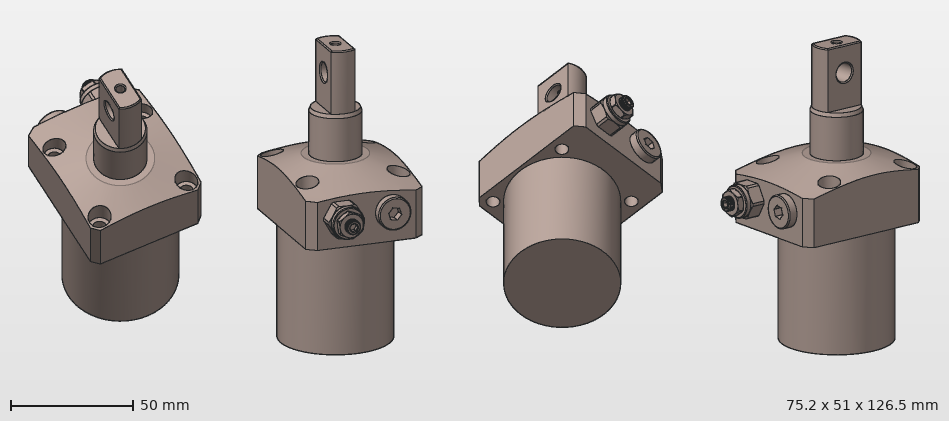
import cadquery as cq
import math

FULL_HEIGHT = 126.5
BARREL_DIAMETER = 48.0
BARREL_LENGTH = 51.0
BLOCK_WIDTH = 51.0
BLOCK_REACH_LEFT = 35.4
BLOCK_TOP = 79.0
TOP_FLAT_RADIUS = 14.0
CONE_SLOPE = 15.0
RIGHT_CORNER_CUT = 3.0
LEFT_CORNER_CUT_X = 3.0
LEFT_CORNER_CUT_Y = 3.9

MOUNT_HALF_SPACING = 20.0
MOUNT_HOLE_DIAMETER = 5.6
MOUNT_COUNTERBORE_DIAMETER = 9.4
MOUNT_COUNTERBORE_FLOOR = 68.3

ROD_DIAMETER = 21.9
ROD_SHOULDER = 99.3
ROD_SHOULDER_CHAMFER_HEIGHT = 1.6
TANG_DIAMETER = 20.5
TANG_THICKNESS = 10.5
TANG_TOP_CHAMFER = 0.5
PIN_HOLE_DIAMETER = 8.1
PIN_HOLE_HEIGHT = 114.6
TAPPED_HOLE_DIAMETER = 3.7
HOLE_CHAMFER = 0.5

PORT_OFFSET = 11.0
PORT_HEIGHT = 64.0

PLUG_DIAMETER = 14.2
PLUG_LENGTH = 4.0
PLUG_CHAMFER = 0.5
PLUG_SOCKET_ACROSS_FLATS = 5.0
PLUG_SOCKET_DEPTH = 3.8
PLUG_SOCKET_TURN = -11.0

VALVE_HEX_ACROSS_FLATS = 14.0
VALVE_HEX_LENGTH = 6.3
VALVE_HEX_CORNER_DIAMETER = 15.5
WASHER_DIAMETER = 13.8
WASHER_THICKNESS = 2.3
WASHER_CHAMFER = 0.4
NUT_ACROSS_FLATS = 10.1
NUT_THICKNESS = 3.0
NUT_CORNER_DIAMETER = 11.5
NUT_TURN = -23.0
SCREW_DIAMETER = 6.1
SCREW_EXPOSED_LENGTH = 2.7
SCREW_TIP_CHAMFER = 0.4
THREAD_PITCH = 0.8
THREAD_DEPTH = 0.3
THREAD_GROOVES = 3
SCREW_SOCKET_ACROSS_FLATS = 3.0
SCREW_SOCKET_DEPTH = 2.3
SCREW_SOCKET_MOUTH_DIAMETER = 3.8

HEX_CORNER_CHAMFER_ANGLE = 30.0
HEX_HALF_ANGLE = 30.0

BLOCK_HALF_WIDTH = BLOCK_WIDTH / 2
WASHER_START = VALVE_HEX_LENGTH
NUT_START = WASHER_START + WASHER_THICKNESS
NUT_END = NUT_START + NUT_THICKNESS
SCREW_END = NUT_END + SCREW_EXPOSED_LENGTH


def port_plane(y, distance=0.0):
    """Plane facing -X on a port axis, at a distance out from the left face. Local x is -Y, local y is Z."""
    return cq.Plane(
        origin=(-BLOCK_REACH_LEFT - distance, y, PORT_HEIGHT), xDir=(0, -1, 0), normal=(-1, 0, 0)
    )


def hexagon(plane, across_flats, length, turn):
    """Hexagonal prism with a corner along local x, turned counterclockwise by `turn` degrees."""
    corner_diameter = across_flats / math.cos(math.radians(HEX_HALF_ANGLE))
    return cq.Workplane(plane.rotated((0, 0, turn))).polygon(6, corner_diameter).extrude(length)


def corner_trim(plane, across_flats, corner_diameter, length, both_ends):
    """Turned envelope that rounds the corners of a hexagon and bevels them at its ends."""
    rim = corner_diameter / 2
    end_radius = across_flats / 2
    bevel = (rim - end_radius) * math.tan(math.radians(HEX_CORNER_CHAMFER_ANGLE))
    profile = cq.Workplane("XZ").moveTo(0, 0)
    if both_ends:
        profile = profile.lineTo(end_radius, 0).lineTo(rim, bevel)
    else:
        profile = profile.lineTo(rim, 0)
    profile = profile.lineTo(rim, length - bevel).lineTo(end_radius, length).lineTo(0, length).close()
    envelope = profile.revolve(360, (0, 0, 0), (0, 1, 0))
    return cq.Workplane(envelope.val().moved(cq.Location(plane)))


def make_block():
    """Flange block with cut corners, its top turned to a cone around a flat ring."""
    left, right, side = -BLOCK_REACH_LEFT, BLOCK_HALF_WIDTH, BLOCK_HALF_WIDTH
    upper_half = [
        (right, side - RIGHT_CORNER_CUT),
        (right - RIGHT_CORNER_CUT, side),
        (left + LEFT_CORNER_CUT_X, side),
        (left, side - LEFT_CORNER_CUT_Y),
    ]
    lower_half = [(x, -y) for x, y in reversed(upper_half)]
    prism = (
        cq.Workplane("XY", origin=(0, 0, BARREL_LENGTH))
        .polyline(upper_half + lower_half)
        .close()
        .extrude(BLOCK_TOP - BARREL_LENGTH)
    )
    reach = math.hypot(BLOCK_REACH_LEFT, BLOCK_HALF_WIDTH)
    rim_height = BLOCK_TOP - (reach - TOP_FLAT_RADIUS) * math.tan(math.radians(CONE_SLOPE))
    turned_top = (
        cq.Workplane("XZ")
        .polyline([
            (0, BARREL_LENGTH),
            (reach, BARREL_LENGTH),
            (reach, rim_height),
            (TOP_FLAT_RADIUS, BLOCK_TOP),
            (0, BLOCK_TOP),
        ])
        .close()
        .revolve(360, (0, 0, 0), (0, 1, 0))
    )
    return prism.intersect(turned_top)


def make_housing():
    """Block and barrel in one piece, with four mounting holes and the rod bore."""
    barrel = cq.Workplane("XY").circle(BARREL_DIAMETER / 2).extrude(BARREL_LENGTH)
    housing = make_block().union(barrel)
    mounts = [(x, y) for x in (-MOUNT_HALF_SPACING, MOUNT_HALF_SPACING)
              for y in (-MOUNT_HALF_SPACING, MOUNT_HALF_SPACING)]
    through_holes = (
        cq.Workplane("XY").pushPoints(mounts).circle(MOUNT_HOLE_DIAMETER / 2).extrude(BLOCK_TOP)
    )
    counterbores = (
        cq.Workplane("XY", origin=(0, 0, MOUNT_COUNTERBORE_FLOOR))
        .pushPoints(mounts)
        .circle(MOUNT_COUNTERBORE_DIAMETER / 2)
        .extrude(BLOCK_TOP - MOUNT_COUNTERBORE_FLOOR)
    )
    rod_bore = (
        cq.Workplane("XY", origin=(0, 0, BARREL_LENGTH))
        .circle(ROD_DIAMETER / 2)
        .extrude(BLOCK_TOP - BARREL_LENGTH)
    )
    return housing.cut(through_holes).cut(counterbores).cut(rod_bore)


def make_rod():
    """Rod standing in the housing bore, with a flattened tang, a pin hole and a tapped end hole."""
    shoulder_step = (ROD_DIAMETER - TANG_DIAMETER) / 2
    shaft = (
        cq.Workplane("XY", origin=(0, 0, BARREL_LENGTH))
        .circle(ROD_DIAMETER / 2)
        .extrude(ROD_SHOULDER - BARREL_LENGTH)
        .faces(">Z")
        .chamfer(ROD_SHOULDER_CHAMFER_HEIGHT, shoulder_step)
    )
    tang_length = FULL_HEIGHT - ROD_SHOULDER
    flats = cq.Workplane("XY", origin=(0, 0, ROD_SHOULDER)).rect(TANG_DIAMETER, TANG_THICKNESS)
    tang = (
        cq.Workplane("XY", origin=(0, 0, ROD_SHOULDER))
        .circle(TANG_DIAMETER / 2)
        .extrude(tang_length)
        .intersect(flats.extrude(tang_length))
        .faces(">Z")
        .chamfer(TANG_TOP_CHAMFER)
    )
    pin_hole = (
        cq.Workplane("XZ", origin=(0, TANG_THICKNESS / 2, PIN_HOLE_HEIGHT))
        .circle(PIN_HOLE_DIAMETER / 2)
        .extrude(TANG_THICKNESS)
    )
    rod = shaft.union(tang).cut(pin_hole)
    for side in (-1, 1):
        rod = rod.cut(hole_bevel(
            cq.Plane((0, side * TANG_THICKNESS / 2, PIN_HOLE_HEIGHT), (1, 0, 0), (0, side, 0)),
            PIN_HOLE_DIAMETER,
        ))
    tapped_hole = (
        cq.Workplane("XY", origin=(0, 0, PIN_HOLE_HEIGHT))
        .circle(TAPPED_HOLE_DIAMETER / 2)
        .extrude(FULL_HEIGHT - PIN_HOLE_HEIGHT)
    )
    end_plane = cq.Plane.XY((0, 0, FULL_HEIGHT))
    return rod.cut(tapped_hole).cut(hole_bevel(end_plane, TAPPED_HOLE_DIAMETER))


def hole_bevel(plane, diameter):
    """Cutter for the 45-degree bevel of a hole whose mouth lies on a plane that faces outward."""
    mouth_radius = diameter / 2 + HOLE_CHAMFER
    return cq.Workplane(cq.Solid.makeCone(
        mouth_radius, diameter / 2, HOLE_CHAMFER, plane.origin, plane.zDir * -1
    ))


def make_plug():
    """Round screw plug with a hexagon socket."""
    disc = (
        cq.Workplane(port_plane(-PORT_OFFSET))
        .circle(PLUG_DIAMETER / 2)
        .extrude(PLUG_LENGTH)
        .faces("<X")
        .chamfer(PLUG_CHAMFER)
    )
    socket_floor = port_plane(-PORT_OFFSET, PLUG_LENGTH - PLUG_SOCKET_DEPTH)
    return disc.cut(hexagon(socket_floor, PLUG_SOCKET_ACROSS_FLATS, PLUG_SOCKET_DEPTH, PLUG_SOCKET_TURN))


def screw_cylinder(start, length):
    """Plain cylinder of the screw diameter over a length of the valve axis."""
    return cq.Workplane(port_plane(PORT_OFFSET, start)).circle(SCREW_DIAMETER / 2).extrude(length)


def make_valve_hex():
    """Hexagon body of the valve, against the housing face."""
    plane = port_plane(PORT_OFFSET)
    body = hexagon(plane, VALVE_HEX_ACROSS_FLATS, VALVE_HEX_LENGTH, 0)
    trim = corner_trim(
        plane, VALVE_HEX_ACROSS_FLATS, VALVE_HEX_CORNER_DIAMETER, VALVE_HEX_LENGTH, both_ends=False
    )
    return body.intersect(trim).cut(screw_cylinder(0, VALVE_HEX_LENGTH))


def make_washer():
    """Sealing washer between the valve hexagon and the lock nut."""
    disc = (
        cq.Workplane(port_plane(PORT_OFFSET, WASHER_START))
        .circle(WASHER_DIAMETER / 2)
        .extrude(WASHER_THICKNESS)
        .faces("<X")
        .chamfer(WASHER_CHAMFER)
    )
    return disc.cut(screw_cylinder(WASHER_START, WASHER_THICKNESS))


def make_nut():
    """Lock nut with bevelled corners at both ends."""
    plane = port_plane(PORT_OFFSET, NUT_START)
    body = hexagon(plane, NUT_ACROSS_FLATS, NUT_THICKNESS, NUT_TURN)
    trim = corner_trim(plane, NUT_ACROSS_FLATS, NUT_CORNER_DIAMETER, NUT_THICKNESS, both_ends=True)
    return body.intersect(trim).cut(screw_cylinder(NUT_START, NUT_THICKNESS))


def make_screw():
    """Adjusting screw through nut, washer and hexagon, with thread grooves on its exposed end."""
    screw = screw_cylinder(0, SCREW_END).faces("<X").chamfer(SCREW_TIP_CHAMFER)
    radius = SCREW_DIAMETER / 2
    for index in range(THREAD_GROOVES):
        start = NUT_END + index * THREAD_PITCH
        groove = (
            cq.Workplane("XZ")
            .polyline([
                (radius, start),
                (radius - THREAD_DEPTH, start + THREAD_PITCH / 2),
                (radius, start + THREAD_PITCH),
            ])
            .close()
            .revolve(360, (0, 0, 0), (0, 1, 0))
        )
        screw = screw.cut(cq.Workplane(groove.val().moved(cq.Location(port_plane(PORT_OFFSET)))))
    socket_floor = port_plane(PORT_OFFSET, SCREW_END - SCREW_SOCKET_DEPTH)
    socket = hexagon(socket_floor, SCREW_SOCKET_ACROSS_FLATS, SCREW_SOCKET_DEPTH, 0)
    mouth_radius = SCREW_SOCKET_MOUTH_DIAMETER / 2
    end_plane = port_plane(PORT_OFFSET, SCREW_END)
    mouth = cq.Solid.makeCone(
        mouth_radius, 0, mouth_radius, end_plane.origin, end_plane.zDir * -1
    )
    return screw.cut(socket).cut(cq.Workplane(mouth))


housing = make_housing()
rod = make_rod()
plug = make_plug()
valve_hex = make_valve_hex()
washer = make_washer()
nut = make_nut()
screw = make_screw()

result = cq.Compound.makeCompound([
    housing.val(),
    rod.val(),
    plug.val(),
    valve_hex.val(),
    washer.val(),
    nut.val(),
    screw.val(),
])